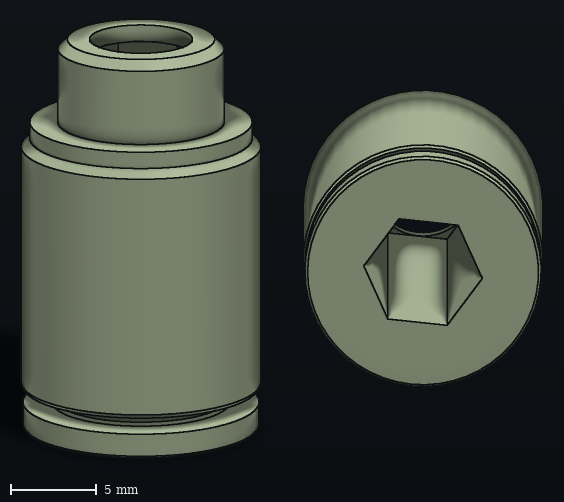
import cadquery as cq
import math

total_height = 23.5

body_diameter = 14.0
flange_diameter = 13.8
collar_diameter = 13.0
neck_band_diameter = 10.6
neck_diameter = 10.0
spigot_diameter = 9.73
bore_diameter = 6.0

flange_top = 1.5
flange_chamfer = 0.16
neck_flare = 0.19
neck_band_bottom = 2.2

body_bottom = 2.47
body_lower_chamfer_height = 0.24
body_lower_chamfer_width = 0.15
collar_bottom = 17.5
collar_top = 18.5
body_upper_chamfer = (body_diameter - collar_diameter) / 2
spigot_chamfer = 0.56

mouth_depth = 1.0
hex_across_flats = 6.02


def make_outer_body():
    """Revolve the half section of the solid outside."""
    body_radius = body_diameter / 2
    flange_radius = flange_diameter / 2
    collar_radius = collar_diameter / 2
    band_radius = neck_band_diameter / 2
    neck_radius = neck_diameter / 2
    spigot_radius = spigot_diameter / 2
    profile = [
        (0, 0),
        (flange_radius - flange_chamfer, 0),
        (flange_radius, flange_chamfer),
        (flange_radius, flange_top),
        (neck_radius + neck_flare, flange_top),
        (neck_radius, flange_top + neck_flare),
        (neck_radius, neck_band_bottom),
        (band_radius, neck_band_bottom),
        (band_radius, body_bottom),
        (body_radius - body_lower_chamfer_width, body_bottom),
        (body_radius, body_bottom + body_lower_chamfer_height),
        (body_radius, collar_bottom - body_upper_chamfer),
        (collar_radius, collar_bottom),
        (collar_radius, collar_top),
        (spigot_radius, collar_top),
        (spigot_radius, total_height - spigot_chamfer),
        (spigot_radius - spigot_chamfer, total_height),
        (0, total_height),
    ]
    return cq.Workplane("XZ").polyline(profile).close().revolve(360, (0, 0, 0), (0, 1, 0))


def make_passage():
    """Hexagonal passage with flats facing +/-X, opening into a round mouth at the top."""
    hex_height = total_height - mouth_depth
    hex_corner_diameter = hex_across_flats / math.cos(math.pi / 6)
    hex_socket = (
        cq.Workplane("XY")
        .polygon(6, hex_corner_diameter)
        .extrude(hex_height)
        .rotate((0, 0, 0), (0, 0, 1), 30)
    )
    mouth = cq.Workplane("XY").circle(bore_diameter / 2).extrude(total_height)
    return hex_socket.union(mouth)


result = make_outer_body().cut(make_passage())